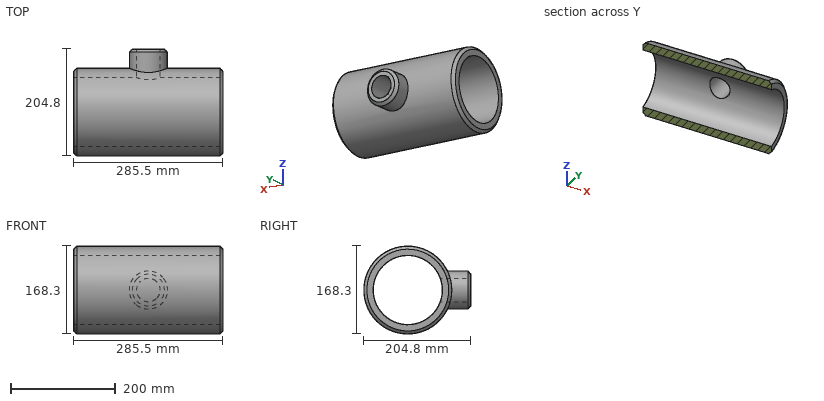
import cadquery as cq

run_length = 285.5
run_diameter = 168.28
run_bore = 131.8
branch_diameter = 73.03
branch_bore = 45.0
branch_reach = 120.65
bevel = 6.0


def run_body():
    body = cq.Workplane("YZ").circle(run_diameter / 2).extrude(run_length / 2, both=True)
    return body.faces("<X or >X").chamfer(bevel)


def branch_cylinder(diameter):
    """Cylinder along +Y from the run axis to the branch end."""
    return cq.Workplane("XZ").circle(diameter / 2).extrude(-branch_reach)


def branch_body():
    return branch_cylinder(branch_diameter).faces(">Y").chamfer(bevel)


def run_passage():
    return cq.Workplane("YZ").circle(run_bore / 2).extrude(run_length / 2, both=True)


result = (
    run_body()
    .union(branch_body())
    .cut(run_passage())
    .cut(branch_cylinder(branch_bore))
)